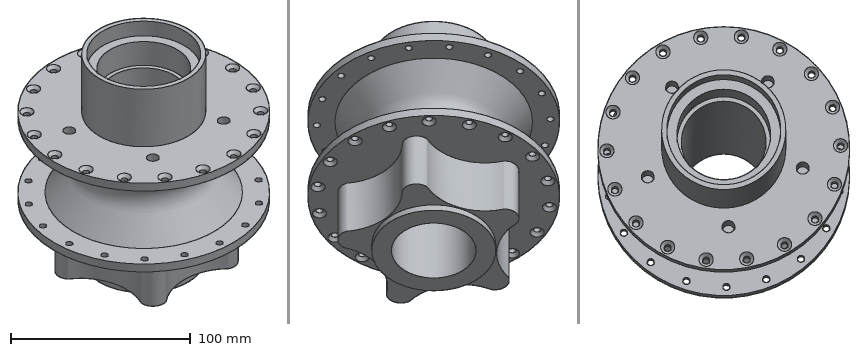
import cadquery as cq
import math

total_height = 138.0
mid_height = total_height / 2
barrel_diameter = 69.0
barrel_radius = barrel_diameter / 2

flange_radius = 70.0
flange_thickness = 5.3
flange_outer_spacing = 60.0
upper_flange_top = mid_height + flange_outer_spacing / 2
lower_flange_bottom = mid_height - flange_outer_spacing / 2

cone_radius = 54.9
neck_radius = 38.9
neck_arc_radius = 15.0
cone_half_height = flange_outer_spacing / 2 - flange_thickness

bore_radius = 23.5
seat_radius = 26.0
seat_depth = 26.0
mouth_radius = 31.6
mouth_depth = 10.0

spoke_count = 18
spoke_pitch = 360 / spoke_count
spoke_circle_radius = 65.0
spoke_hole_radius = 2.0
countersink_radius = 3.9
countersink_depth = 2.0

bolt_count = 5
bolt_pitch = 360 / bolt_count
bolt_circle_radius = 45.4
bolt_hole_radius = 3.5
bolt_hole_depth = 10.0
lobe_tip_radius = 8.1
lobe_tip_half_angle = 60
lobe_waist_radius = 35.3
lobe_base_height = 3.9

start_angle = 90


def polar(radius, angle):
    """Point at a radius and an angle in degrees."""
    return (radius * math.cos(math.radians(angle)), radius * math.sin(math.radians(angle)))


def cylinder(radius, bottom, top):
    return cq.Workplane("XY").workplane(offset=bottom).circle(radius).extrude(top - bottom)


def make_waist():
    """Solid of revolution whose straight flanks are tangent to the neck arc."""
    arc_center = neck_radius + neck_arc_radius
    rim_distance = math.hypot(cone_radius - arc_center, cone_half_height)
    rim_angle = math.atan2(cone_half_height, cone_radius - arc_center)
    tangent_angle = rim_angle + math.acos(neck_arc_radius / rim_distance)
    tangent_radius = arc_center + neck_arc_radius * math.cos(tangent_angle)
    tangent_height = neck_arc_radius * math.sin(tangent_angle)
    return (
        cq.Workplane("XZ", origin=(0, 0, mid_height))
        .moveTo(0, -cone_half_height)
        .lineTo(cone_radius, -cone_half_height)
        .lineTo(tangent_radius, -tangent_height)
        .threePointArc((neck_radius, 0), (tangent_radius, tangent_height))
        .lineTo(cone_radius, cone_half_height)
        .lineTo(0, cone_half_height)
        .close()
        .revolve(360, (0, 0, 0), (0, 1, 0))
    )


def make_lobes():
    """Five-lobed block: round tips joined by concave arcs."""
    half_pitch = bolt_pitch / 2
    tip_x, joint_y = polar(lobe_tip_radius, lobe_tip_half_angle)
    joint_x = bolt_circle_radius + tip_x
    joint_radius = math.hypot(joint_x, joint_y)
    joint_angle = math.degrees(math.atan2(joint_y, joint_x))

    outline = cq.Workplane("XY").workplane(offset=lobe_base_height)
    outline = outline.moveTo(*polar(joint_radius, start_angle - joint_angle))
    for i in range(bolt_count):
        axis = start_angle + i * bolt_pitch
        tip = polar(bolt_circle_radius + lobe_tip_radius, axis)
        outline = outline.threePointArc(tip, polar(joint_radius, axis + joint_angle))
        waist = polar(lobe_waist_radius, axis + half_pitch)
        next_joint = polar(joint_radius, axis + bolt_pitch - joint_angle)
        outline = outline.threePointArc(waist, next_joint)
    return outline.close().extrude(lower_flange_bottom - lobe_base_height)


def make_spoke_cutters(outer_face, inward, first_angle):
    """Ring of countersunk holes entering a flange from its outer face; inward is +1 or -1 along Z."""
    cutter = (
        cq.Workplane("XZ", origin=(0, 0, outer_face))
        .polyline([
            (0, 0),
            (countersink_radius, 0),
            (spoke_hole_radius, inward * countersink_depth),
            (spoke_hole_radius, inward * flange_thickness),
            (0, inward * flange_thickness),
        ])
        .close()
        .revolve(360, (0, 0, 0), (0, 1, 0))
        .val()
    )
    ring = cq.Workplane("XY").polarArray(spoke_circle_radius, first_angle, 360, spoke_count)
    return ring.eachpoint(lambda place: cutter.moved(place))


def make_bolt_cutters():
    return (
        cq.Workplane("XY")
        .workplane(offset=upper_flange_top)
        .polarArray(bolt_circle_radius, start_angle, 360, bolt_count)
        .circle(bolt_hole_radius)
        .extrude(-bolt_hole_depth)
    )


body = (
    cylinder(barrel_radius, 0, total_height)
    .union(cylinder(flange_radius, lower_flange_bottom, lower_flange_bottom + flange_thickness))
    .union(cylinder(flange_radius, upper_flange_top - flange_thickness, upper_flange_top))
    .union(make_waist())
    .union(make_lobes())
)

body = (
    body.cut(cylinder(bore_radius, 0, total_height))
    .cut(cylinder(seat_radius, total_height - seat_depth, total_height))
    .cut(cylinder(mouth_radius, total_height - mouth_depth, total_height))
)

upper_spokes = make_spoke_cutters(upper_flange_top, -1, start_angle)
lower_spokes = make_spoke_cutters(lower_flange_bottom, 1, start_angle + spoke_pitch / 2)
result = body.cut(upper_spokes).cut(lower_spokes).cut(make_bolt_cutters())